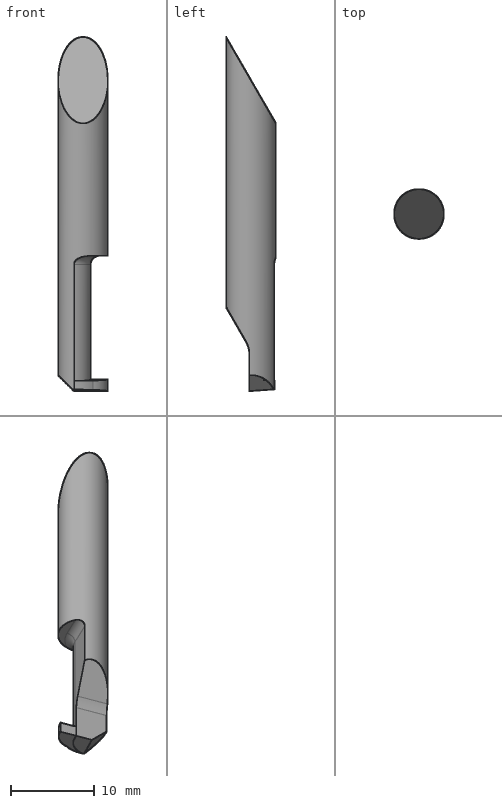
import cadquery as cq
import math

length = 42.45
diameter = 6.0
radius = diameter / 2
clearance = 0.85
reach = radius + clearance

slant = math.radians(30)
top_slant_height = diameter / math.tan(slant)
flat_y = 0.2
flat_slant_top = 10.05
flat_blend_radius = 2.95
flat_slant_bottom = flat_slant_top - (radius - flat_y) / math.tan(slant)

neck_radius = 2.5
neck_x = -1.55
neck_y = -0.35
neck_side = neck_x + neck_radius
neck_top = 16.2
neck_fillet = 1.0

tip_left = -1.05
tip_height = 1.45
tip_left_y = -math.sqrt(radius**2 - tip_left**2)
tip_corner = (math.sqrt(radius**2 - flat_y**2), flat_y)
tip_heel = (1.2, -2.25)
front_arc_middle = (0.13, -2.7)
side_arc_middle = (2.3, -1.6)
end_relief = 0.2
relief_slope = end_relief / (flat_y - tip_left_y)


def prism_along_x(points):
    """Prism over a YZ outline, wide enough to span the shank."""
    return cq.Workplane("YZ").polyline(points).close().extrude(reach, both=True)


def neck_region():
    """Column outside the neck wall, running up to the neck shoulder."""
    arc_middle = (
        neck_x + neck_radius * math.cos(math.radians(45)),
        neck_y - neck_radius * math.sin(math.radians(45)),
    )
    return (
        cq.Workplane("XY", origin=(0, 0, -clearance))
        .moveTo(neck_x, -reach)
        .lineTo(reach, -reach)
        .lineTo(reach, reach)
        .lineTo(neck_side, reach)
        .lineTo(neck_side, neck_y)
        .threePointArc(arc_middle, (neck_x, neck_y - neck_radius))
        .close()
        .extrude(neck_top + clearance)
    )


def neck_cutter():
    """Neck region with its shoulder rounded where it meets the neck wall."""
    arc_edge = cq.selectors.NearestToPointSelector((neck_x + neck_radius / 2, neck_y - neck_radius, neck_top))
    wall_edge = cq.selectors.NearestToPointSelector((neck_side, (reach + neck_y) / 2, neck_top))
    return neck_region().faces(">Z").edges(arc_edge + wall_edge).fillet(neck_fillet)


def top_slant_cutter():
    """Wedge above the slanted top face."""
    overrun = clearance / math.tan(slant)
    return prism_along_x([
        (-reach, length - top_slant_height - overrun),
        (reach, length + overrun),
        (-reach, length + overrun),
    ])


def rear_flat_cutter():
    """Material behind the rear flat and below its slanted runout."""
    cutter = prism_along_x([
        (flat_y, -clearance),
        (reach, -clearance),
        (reach, flat_slant_top + clearance / math.tan(slant)),
        (flat_y, flat_slant_bottom),
    ])
    runout_edge = cq.selectors.NearestToPointSelector((0, flat_y, flat_slant_bottom))
    return cutter.edges("|X").edges(runout_edge).fillet(flat_blend_radius)


def end_relief_cutter():
    """Wedge under the end face, which rises from the flat to the front."""
    return prism_along_x([
        (flat_y, 0),
        (-reach, relief_slope * (flat_y + reach)),
        (-reach, -clearance),
        (flat_y, -clearance),
    ])


def end_chamfer_cutter():
    """45 degree corner cut from the end face to the side of the shank."""
    far_x = tip_left + clearance
    return (
        cq.Workplane("XZ")
        .polyline([(far_x, -clearance), (-reach, -clearance), (-reach, tip_left + reach)])
        .close()
        .extrude(reach, both=True)
    )


def make_shank():
    shank = cq.Workplane("XY").circle(radius).extrude(length)
    shank = shank.cut(top_slant_cutter())
    shank = shank.cut(rear_flat_cutter())
    shank = shank.cut(neck_cutter())
    shank = shank.cut(end_relief_cutter())
    return shank.cut(end_chamfer_cutter())


def make_tip():
    """Plate hooked around the neck, with sloped upper and lower faces."""
    outline = (
        cq.Workplane("XY")
        .moveTo(tip_left, flat_y)
        .lineTo(tip_left, tip_left_y)
        .threePointArc(front_arc_middle, tip_heel)
        .threePointArc(side_arc_middle, tip_corner)
        .close()
        .extrude(tip_height)
    )
    front_drop = relief_slope * (flat_y + reach)
    sloped_slab = prism_along_x([
        (flat_y, 0),
        (flat_y, tip_height),
        (-reach, tip_height - front_drop),
        (-reach, front_drop),
    ])
    return outline.intersect(sloped_slab).intersect(neck_region())


shank = make_shank()
tip = make_tip()
result = cq.Compound.makeCompound([shank.val(), tip.val()])